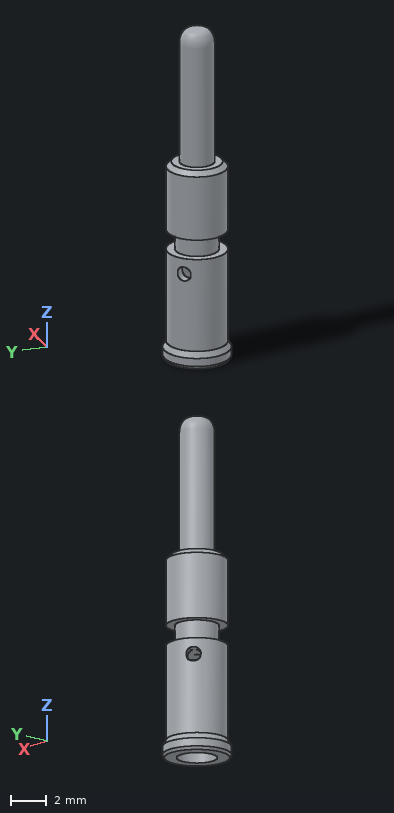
import cadquery as cq
import math

total_length = 19.8
pin_length = 8.0
shoulder_height = total_length - pin_length
groove_bottom = 6.53
groove_top = 7.7
flange_top = 1.0
flange_straight_top = 0.65

pin_radius = 1.0
body_radius = 1.752
groove_radius = 1.25
flange_radius = 1.95

body_chamfer = 0.3
rear_chamfer_width = 0.1
rear_chamfer_height = 0.18
tip_ball_radius = pin_radius
tip_edge_radius = tip_ball_radius / 2
tip_flat_radius = 0.4

bore_radius = 1.15
bore_depth = 6.0
inspection_diameter = 0.83
inspection_height = 5.6
inspection_angle = 135.0


def arc_point(center, radius, angle):
    """Point on an arc in the radius-height plane."""
    return (center[0] + radius * math.cos(angle), center[1] + radius * math.sin(angle))


edge_center = (tip_flat_radius, total_length - tip_edge_radius)
blend_angle = math.acos(tip_flat_radius / (tip_ball_radius - tip_edge_radius))
blend_point = arc_point(edge_center, tip_edge_radius, blend_angle)
ball_center = (0, blend_point[1] - tip_ball_radius * math.sin(blend_angle))
ball_middle = arc_point(ball_center, tip_ball_radius, blend_angle / 2)
edge_middle = arc_point(edge_center, tip_edge_radius, (blend_angle + math.pi / 2) / 2)


def turned_body():
    """Solid of revolution: flange, grooved body and pin with a rounded tip."""
    return (
        cq.Workplane("XZ")
        .moveTo(0, 0)
        .lineTo(flange_radius - rear_chamfer_width, 0)
        .lineTo(flange_radius, rear_chamfer_height)
        .lineTo(flange_radius, flange_straight_top)
        .lineTo(body_radius, flange_top)
        .lineTo(body_radius, groove_bottom)
        .lineTo(groove_radius, groove_bottom)
        .lineTo(groove_radius, groove_top)
        .lineTo(body_radius, groove_top)
        .lineTo(body_radius, shoulder_height - body_chamfer)
        .lineTo(body_radius - body_chamfer, shoulder_height)
        .lineTo(pin_radius, shoulder_height)
        .lineTo(pin_radius, ball_center[1])
        .threePointArc(ball_middle, blend_point)
        .threePointArc(edge_middle, (tip_flat_radius, total_length))
        .lineTo(0, total_length)
        .close()
        .revolve(360, (0, 0, 0), (0, 1, 0))
    )


def wire_bore():
    """Blind bore entering through the rear face."""
    return cq.Workplane("XY").circle(bore_radius).extrude(bore_depth)


def inspection_hole():
    """Radial hole through one wall, opening into the bore near its blind end."""
    return (
        cq.Workplane("YZ")
        .center(0, inspection_height)
        .circle(inspection_diameter / 2)
        .extrude(flange_radius)
        .rotate((0, 0, 0), (0, 0, 1), inspection_angle)
    )


result = turned_body().cut(wire_bore()).cut(inspection_hole())